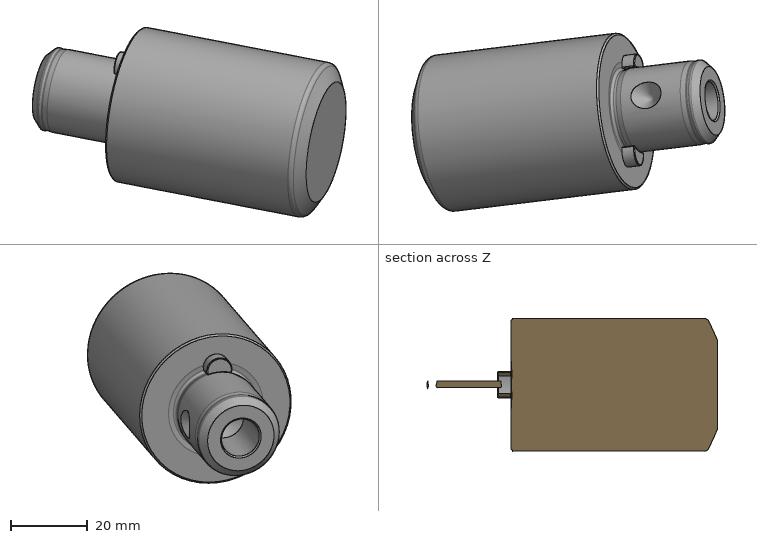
import cadquery as cq
import math


LENGTH = 77.75
BODY_DIA = 41.0
SHOULDER_X = 23.95
FRONT_CHAMFER = 0.5
REAR_FACE_RADIUS = 15.9
REAR_CONE_ANGLE = 60.0
REAR_CORNER_RADIUS = 1.5

SPIGOT_DIA = 22.0
NOSE_GROOVE_DIA = 21.6
NOSE_CHAMFER = 2.0
NOSE_CORNER_RADIUS = 0.55
LIP_END = 2.4
GROOVE_FLOOR_START = 3.1
GROOVE_FLOOR_END = 3.35
LEAD_IN_END = 4.75

UNDERCUT_DIA = 21.3
UNDERCUT_TAPER_START = 21.4
UNDERCUT_TAPER_END = 22.8
UNDERCUT_ARC_START = 23.5
UNDERCUT_CORNER_RADIUS = 0.67
UNDERCUT_FACE_ANGLE = 8.0

BORE_DIA = 10.2
BORE_DEPTH = 15.55
BORE_CHAMFER = 0.4
DRILL_POINT_ANGLE = 118.0

SEAT_X = 14.3
SEAT_MOUTH_RADIUS = 4.2

PIN_RADIUS = 3.4
PIN_CENTER_Z = 11.75
PIN_FACE_X = 20.45
PIN_END_CHAMFER = 0.2
PIN_CORNER_Z = 11.05
PIN_CORNER_CHAMFER = 0.5
PIN_HOLLOW_RADIUS = 11.2

BODY_RADIUS = BODY_DIA / 2
SPIGOT_RADIUS = SPIGOT_DIA / 2
NOSE_GROOVE_RADIUS = NOSE_GROOVE_DIA / 2
UNDERCUT_RADIUS = UNDERCUT_DIA / 2


def revolve_about_x(profile):
    """Turn a closed profile drawn in X and radius about the X axis."""
    return profile.close().revolve(360, (0, 0, 0), (1, 0, 0))


def turned_blank():
    """Body and spigot, rounded where the nose chamfer and the rear cone begin."""
    arc_center_r = UNDERCUT_RADIUS + UNDERCUT_CORNER_RADIUS
    slope = math.radians(UNDERCUT_FACE_ANGLE)
    middle = (slope - math.pi / 2) / 2

    def undercut_arc(angle):
        return (
            UNDERCUT_ARC_START + UNDERCUT_CORNER_RADIUS * math.cos(angle),
            arc_center_r + UNDERCUT_CORNER_RADIUS * math.sin(angle),
        )

    arc_end = undercut_arc(slope)
    undercut_rim = arc_end[1] + (arc_end[0] - SHOULDER_X) / math.tan(slope)
    rear_cone_length = (BODY_RADIUS - REAR_FACE_RADIUS) / math.tan(math.radians(REAR_CONE_ANGLE))

    profile = (
        cq.Workplane("XY")
        .lineTo(0, SPIGOT_RADIUS - NOSE_CHAMFER)
        .lineTo(NOSE_CHAMFER, SPIGOT_RADIUS)
        .lineTo(LIP_END, SPIGOT_RADIUS)
        .lineTo(GROOVE_FLOOR_START, NOSE_GROOVE_RADIUS)
        .lineTo(GROOVE_FLOOR_END, NOSE_GROOVE_RADIUS)
        .lineTo(LEAD_IN_END, SPIGOT_RADIUS)
        .lineTo(UNDERCUT_TAPER_START, SPIGOT_RADIUS)
        .lineTo(UNDERCUT_TAPER_END, UNDERCUT_RADIUS)
        .lineTo(UNDERCUT_ARC_START, UNDERCUT_RADIUS)
        .threePointArc(undercut_arc(middle), arc_end)
        .lineTo(SHOULDER_X, undercut_rim)
        .lineTo(SHOULDER_X, BODY_RADIUS - FRONT_CHAMFER)
        .lineTo(SHOULDER_X + FRONT_CHAMFER, BODY_RADIUS)
        .lineTo(LENGTH - rear_cone_length, BODY_RADIUS)
        .lineTo(LENGTH, REAR_FACE_RADIUS)
        .lineTo(LENGTH, 0)
    )
    rear_corner = cq.selectors.NearestToPointSelector((LENGTH - rear_cone_length, 0, 0))
    nose_corner = cq.selectors.NearestToPointSelector((NOSE_CHAMFER, 0, 0))
    return (
        revolve_about_x(profile)
        .edges("%CIRCLE").edges(rear_corner).fillet(REAR_CORNER_RADIUS)
        .edges("%CIRCLE").edges(nose_corner).fillet(NOSE_CORNER_RADIUS)
    )


def nose_bore():
    """Blind bore with a chamfered mouth and a drill-point bottom."""
    radius = BORE_DIA / 2
    point_length = radius / math.tan(math.radians(DRILL_POINT_ANGLE / 2))
    profile = (
        cq.Workplane("XY")
        .lineTo(0, radius + BORE_CHAMFER)
        .lineTo(BORE_CHAMFER, radius)
        .lineTo(BORE_DEPTH, radius)
        .lineTo(BORE_DEPTH + point_length, 0)
    )
    return revolve_about_x(profile)


def side_seat():
    """Conical recess pointing from the +Y flank of the spigot to its axis."""
    cone = cq.Solid.makeCone(
        SEAT_MOUTH_RADIUS, 0, SEAT_MOUTH_RADIUS,
        pnt=cq.Vector(SEAT_X, SPIGOT_RADIUS, 0), dir=cq.Vector(0, -1, 0),
    )
    return cq.Workplane(obj=cone)


def make_housing():
    return turned_blank().cut(nose_bore()).cut(side_seat()).solids()


def make_pin(turn):
    """Drive pin on the shoulder, hollowed to clear the spigot; turn is about X."""
    pin_length = SHOULDER_X - PIN_FACE_X
    flank_y = math.sqrt(PIN_RADIUS**2 - (PIN_CENTER_Z - PIN_CORNER_Z)**2)
    chamfer_y = flank_y - PIN_CORNER_CHAMFER
    chamfer_z = PIN_CORNER_Z - PIN_CORNER_CHAMFER
    start = cq.Workplane("YZ", origin=(PIN_FACE_X, 0, 0))

    cylinder = start.center(0, PIN_CENTER_Z).circle(PIN_RADIUS).extrude(pin_length)
    envelope = (
        start.moveTo(-chamfer_y, chamfer_z)
        .lineTo(chamfer_y, chamfer_z)
        .lineTo(chamfer_y + PIN_RADIUS, chamfer_z + PIN_RADIUS)
        .lineTo(chamfer_y + PIN_RADIUS, PIN_CENTER_Z + 2 * PIN_RADIUS)
        .lineTo(-chamfer_y - PIN_RADIUS, PIN_CENTER_Z + 2 * PIN_RADIUS)
        .lineTo(-chamfer_y - PIN_RADIUS, chamfer_z + PIN_RADIUS)
        .close().extrude(pin_length)
    )
    spigot_hollow = start.circle(PIN_HOLLOW_RADIUS).extrude(pin_length)
    pin = cylinder.intersect(envelope).cut(spigot_hollow)
    pin = pin.faces("<X").chamfer(PIN_END_CHAMFER)
    return pin.rotate((0, 0, 0), (1, 0, 0), turn).solids()


housing = make_housing()
pins = [make_pin(turn) for turn in (0, 180)]

result = cq.Compound.makeCompound([housing.val(), *[pin.val() for pin in pins]])